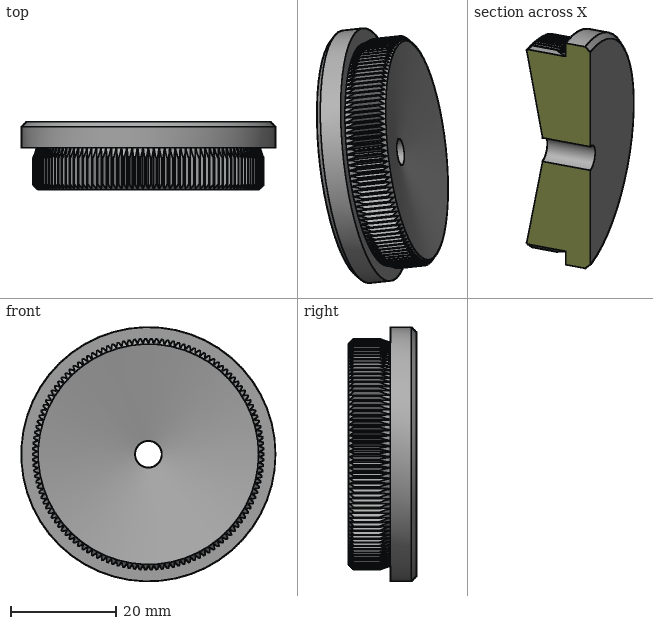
import cadquery as cq
import math

flange_radius = 24.15
hole_radius = 2.5
total_depth = 13.0
flange_thickness = 5.0
chamfer = 1.0

tooth_count = 130
tip_radius = 21.95
root_radius = 21.15
tip_width = 0.25

neck_radius = 21.25
neck_length = 1.95
neck_hollow = 0.072

dish_radius = tip_radius - chamfer
dish_angle = 10.0

front_y = -total_depth / 2
back_y = total_depth / 2
flange_face_y = back_y - flange_thickness


def turned(profile):
    """Revolve a closed (radius, y) profile about the Y axis."""
    return cq.Workplane("XY").polyline(profile).close().revolve(360, (0, 0), (0, 1))


def make_flange():
    return turned([
        (0, flange_face_y),
        (flange_radius, flange_face_y),
        (flange_radius, back_y - chamfer),
        (flange_radius - chamfer, back_y),
        (0, back_y),
    ])


def make_tooth_prism():
    """Toothed bar along Y, with a groove centred on +Z."""
    pitch_angle = 2 * math.pi / tooth_count
    half_tip_angle = tip_width / tip_radius / 2
    outline = []
    for tooth in range(tooth_count):
        groove_angle = math.pi / 2 + tooth * pitch_angle
        tip_angle = groove_angle + pitch_angle / 2
        for radius, angle in (
            (root_radius, groove_angle),
            (tip_radius, tip_angle - half_tip_angle),
            (tip_radius, tip_angle + half_tip_angle),
        ):
            outline.append((radius * math.cos(angle), radius * math.sin(angle)))
    plane = cq.Workplane("XZ", origin=(0, flange_face_y, 0))
    return plane.polyline(outline).close().extrude(flange_face_y - front_y)


def make_spigot():
    """Toothed bar trimmed to the chamfered front and the hollow neck."""
    neck_middle = (
        (tip_radius + neck_radius) / 2 - neck_hollow,
        flange_face_y - neck_length / 2,
    )
    envelope = (
        cq.Workplane("XY")
        .moveTo(0, front_y)
        .lineTo(tip_radius - chamfer, front_y)
        .lineTo(tip_radius, front_y + chamfer)
        .lineTo(tip_radius, flange_face_y - neck_length)
        .threePointArc(neck_middle, (neck_radius, flange_face_y))
        .lineTo(0, flange_face_y)
        .close()
        .revolve(360, (0, 0), (0, 1))
    )
    return make_tooth_prism().intersect(envelope)


def make_dish():
    """Cone that hollows the front face, deepest on the axis."""
    dish_depth = dish_radius * math.tan(math.radians(dish_angle))
    return turned([(0, front_y), (dish_radius, front_y), (0, front_y + dish_depth)])


def make_hole():
    return cq.Workplane("XZ").circle(hole_radius).extrude(total_depth, both=True)


result = make_flange().union(make_spigot()).cut(make_dish()).cut(make_hole())